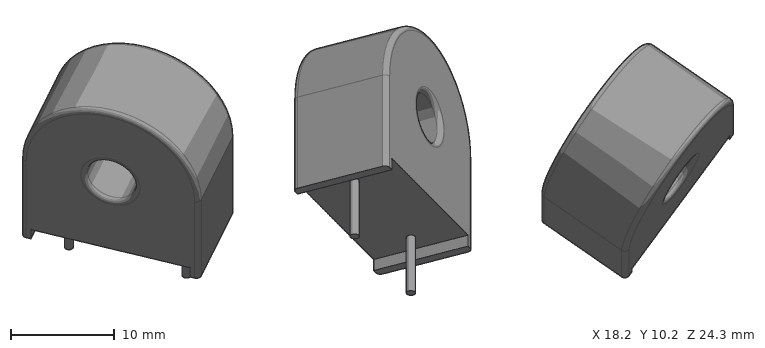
import cadquery as cq

total_height = 24.3
body_width = 18.2
body_depth = 10.2

crown_radius = body_width / 2
side_height = 10.2
edge_radius = 0.5

hole_diameter = 5.0

foot_width = 1.0
foot_height = 1.25

pin_diameter = 0.9
pin_spacing = 12.0

foot_bottom = -side_height
channel_roof = foot_bottom + foot_height
pin_bottom = crown_radius - total_height


def make_housing():
    """Arched block with a through hole and rounded front and back edges."""
    block = (
        cq.Workplane("XZ")
        .moveTo(-crown_radius, foot_bottom)
        .lineTo(-crown_radius, 0)
        .threePointArc((0, crown_radius), (crown_radius, 0))
        .lineTo(crown_radius, foot_bottom)
        .close()
        .extrude(body_depth / 2, both=True)
    )
    hole = cq.Workplane("XZ").circle(hole_diameter / 2).extrude(body_depth / 2, both=True)
    rounded_edges = block.cut(hole).faces("<Y or >Y").edges("not |X")
    return rounded_edges.fillet(edge_radius)


def make_channel():
    """Cutter for the full-depth channel between the two feet."""
    channel_width = body_width - 2 * foot_width
    return (
        cq.Workplane("XY", origin=(0, 0, foot_bottom))
        .rect(channel_width, body_depth)
        .extrude(foot_height)
    )


def make_pins():
    """Two round pins hanging from the channel roof."""
    return (
        cq.Workplane("XY", origin=(0, 0, pin_bottom))
        .pushPoints([(-pin_spacing / 2, 0), (pin_spacing / 2, 0)])
        .circle(pin_diameter / 2)
        .extrude(channel_roof - pin_bottom)
    )


result = make_housing().cut(make_channel()).union(make_pins())